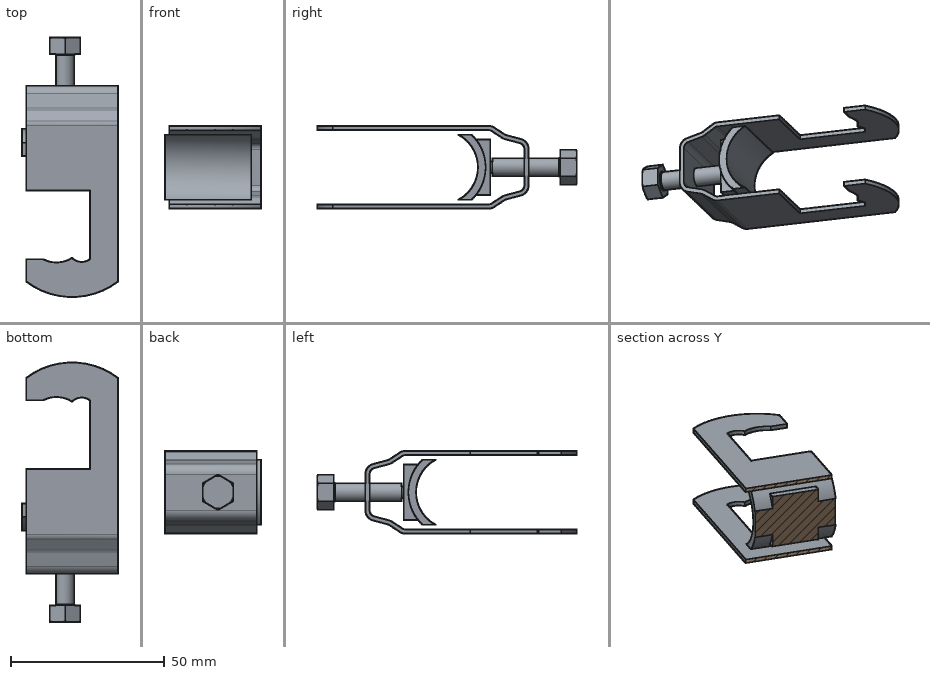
import cadquery as cq
import math


bracket_left = -12.7
bracket_right = 17.3
bracket_height = 27.0
sheet = 1.4
arm_tip_y = -69.0
rear_corner_z = 8.55
valley_y = -7.6
valley_z = 10.6
shoulder_y = -12.1
rear_bend_radius = 3.5
valley_bend_radius = 2.6
shoulder_bend_radius = 2.8

ledge_y = -34.3
throat_x = 8.1
jaw_y = -56.7
tip_shoulder_y = -63.95
large_scallop_start_x = -7.0
large_scallop_bottom = (-2.5, -57.7)
scallop_peak = (2.3, -56.15)
small_scallop_bottom = (5.5, -57.5)
small_scallop_end_y = -56.6

shank_diameter = 6.0
head_across_flats = 10.0
head_rear_y = 84.7 + arm_tip_y
head_length = 5.4
head_edge_height = 0.25
head_edge_inset = 0.5
collar_diameter = 6.4
collar_length = 0.4
shank_end_y = -11.9
tip_diameter = 3.8

saddle_length = 28.1
saddle_height = 21.3
saddle_inner_radius = 12.0
saddle_thickness = 2.5
saddle_apex_y = -14.1
block_rear_y = -12.5
block_height = 18.1
block_length = 16.0


def y_cylinder(diameter, y_start, y_end):
    """Cylinder on the bolt axis running forward (-Y) from y_start to y_end."""
    return (
        cq.Workplane("XZ", origin=(0, y_start, 0))
        .circle(diameter / 2)
        .extrude(y_start - y_end)
    )


def bent_strip():
    """Strip of constant thickness following the bent side profile, longer than the arms."""
    half_height = bracket_height / 2
    open_end_y = arm_tip_y - 2 * sheet
    upper_corners = [
        (0, rear_corner_z),
        (valley_y, valley_z),
        (shoulder_y, half_height),
        (open_end_y, half_height),
    ]
    lower_corners = [(y, -z) for y, z in reversed(upper_corners)]
    width = bracket_right - bracket_left
    outside = (
        cq.Workplane("YZ", origin=(bracket_left, 0, 0))
        .polyline(upper_corners + lower_corners)
        .close()
        .extrude(width)
    )
    bends = [
        (0, rear_corner_z, rear_bend_radius),
        (valley_y, valley_z, valley_bend_radius),
        (shoulder_y, half_height, shoulder_bend_radius),
    ]
    middle_x = (bracket_left + bracket_right) / 2
    for y, z, radius in bends:
        for side in (1, -1):
            corner = cq.selectors.NearestToPointSelector((middle_x, y, side * z))
            outside = outside.edges("|X").edges(corner).fillet(radius)
    inside = (
        cq.Workplane("YZ", origin=(bracket_left, 0, 0))
        .add(outside.faces("<X").wires().val())
        .toPending()
        .offset2D(-sheet)
        .extrude(width)
    )
    return outside.cut(inside)


def hook_outline():
    """Prism with the plan shape of the bracket: a plate, a neck and a scalloped hook."""
    return (
        cq.Workplane("XY", origin=(0, 0, -bracket_height / 2))
        .moveTo(bracket_left, 0)
        .lineTo(bracket_left, ledge_y)
        .lineTo(throat_x, ledge_y)
        .lineTo(throat_x, small_scallop_end_y)
        .threePointArc(small_scallop_bottom, scallop_peak)
        .threePointArc(large_scallop_bottom, (large_scallop_start_x, jaw_y))
        .lineTo(bracket_left, jaw_y)
        .lineTo(bracket_left, tip_shoulder_y)
        .threePointArc(
            ((bracket_left + bracket_right) / 2, arm_tip_y), (bracket_right, tip_shoulder_y)
        )
        .lineTo(bracket_right, 0)
        .close()
        .extrude(bracket_height)
    )


def make_bracket():
    """Bent strip trimmed to the hooks, with a hole for the bolt in its rear wall."""
    bolt_hole = y_cylinder(shank_diameter, sheet, -2 * sheet)
    return bent_strip().intersect(hook_outline()).cut(bolt_hole)


def make_bolt_head():
    """Hexagon with corners up and down and its rear corners turned off by a cone."""
    across_corners = head_across_flats / math.cos(math.pi / 6)
    corner_radius = across_corners / 2
    head_front_y = head_rear_y - head_length
    hexagon = (
        cq.Workplane("XZ", origin=(0, head_rear_y, 0))
        .transformed(rotate=(0, 0, 90))
        .polygon(6, across_corners)
        .extrude(head_length)
    )
    turned_envelope = (
        cq.Workplane("XY")
        .moveTo(0, head_front_y)
        .lineTo(corner_radius, head_front_y)
        .lineTo(corner_radius, head_rear_y - head_edge_height)
        .lineTo(corner_radius - head_edge_inset, head_rear_y)
        .lineTo(0, head_rear_y)
        .close()
        .revolve(360, (0, 0, 0), (0, 1, 0))
    )
    return hexagon.intersect(turned_envelope)


def make_bolt():
    """Hexagon bolt with a tapered collar under the head and a reduced tip."""
    head_front_y = head_rear_y - head_length
    collar = (
        cq.Workplane("XZ", origin=(0, head_front_y, 0))
        .circle(collar_diameter / 2)
        .workplane(offset=collar_length)
        .circle(shank_diameter / 2)
        .loft()
    )
    shank = y_cylinder(shank_diameter, head_front_y, shank_end_y)
    tip = y_cylinder(tip_diameter, shank_end_y, block_rear_y)
    return make_bolt_head().union(collar).union(shank).union(tip)


def make_saddle():
    """Part-cylindrical pad, trimmed flat above and below, with a block on its back."""
    outer_radius = saddle_inner_radius + saddle_thickness
    axis_y = saddle_apex_y - outer_radius

    def x_cylinder(radius):
        return cq.Workplane("YZ").center(axis_y, 0).circle(radius).extrude(saddle_length / 2, both=True)

    rear_half = cq.Workplane("XY").box(
        saddle_length, outer_radius, saddle_height, centered=(True, False, True)
    ).translate((0, axis_y, 0))
    bore = x_cylinder(saddle_inner_radius)
    pad = x_cylinder(outer_radius).intersect(rear_half).cut(bore)
    block = cq.Workplane("XY").box(
        block_length, block_rear_y - axis_y, block_height, centered=(True, False, True)
    ).translate((0, axis_y, 0))
    return pad.union(block.cut(bore))


bracket = make_bracket()
bolt = make_bolt()
saddle = make_saddle()

bodies = [bracket, bolt, saddle]
result = cq.Compound.makeCompound([body.solids().val() for body in bodies])